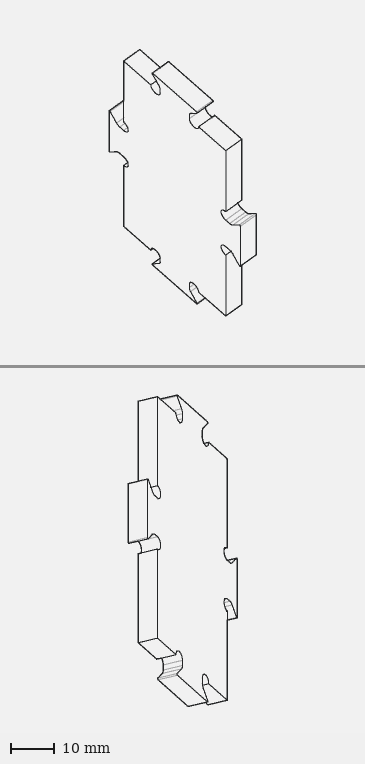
import cadquery as cq

total_width = 45.0
total_height = 72.5
thickness = 5.0

tab_length = 5.0
neck_half_width = 5.0
tip_half_width = 8.05
flank_depth = tip_half_width - neck_half_width
bend_radius = 1.5
tip_radius = 0.2

relief_radius = 1.6
relief_offset = neck_half_width + relief_radius

body_width = total_width - 2 * tab_length
body_height = total_height - 2 * tab_length


def extrude_centered(sketch):
    """Extrude an XZ sketch by the thickness, centred on Y."""
    return sketch.extrude(thickness).translate((0, thickness / 2, 0))


def make_tab(edge_distance):
    """Upward dovetail tab, overlapping the body below the given edge."""
    root = edge_distance - tab_length
    tip = edge_distance + tab_length
    bend = tip - flank_depth
    tab = extrude_centered(
        cq.Workplane("XZ").polyline([
            (-neck_half_width, root),
            (-neck_half_width, bend),
            (-tip_half_width, tip),
            (tip_half_width, tip),
            (neck_half_width, bend),
            (neck_half_width, root),
        ]).close()
    )
    bend_selector = cq.selectors.BoxSelector(
        (-tip_half_width, -thickness, bend - tip_radius),
        (tip_half_width, thickness, bend + tip_radius),
    )
    tab = tab.edges("|Y").edges(bend_selector).fillet(bend_radius)
    return tab.edges("|Y").edges(">Z or <X or >X").fillet(tip_radius)


def make_reliefs(edge_distance):
    """Pair of round reliefs centred on the edge, either side of the neck."""
    centers = [(-relief_offset, edge_distance), (relief_offset, edge_distance)]
    return extrude_centered(cq.Workplane("XZ").pushPoints(centers).circle(relief_radius))


plate = cq.Workplane("XY").box(body_width, thickness, body_height)

for angle in (0, 90, 180, 270):
    edge_distance = body_height / 2 if angle % 180 == 0 else body_width / 2
    reliefs = make_reliefs(edge_distance).rotate((0, 0, 0), (0, 1, 0), angle)
    tab = make_tab(edge_distance).rotate((0, 0, 0), (0, 1, 0), angle)
    plate = plate.cut(reliefs).union(tab)

result = plate